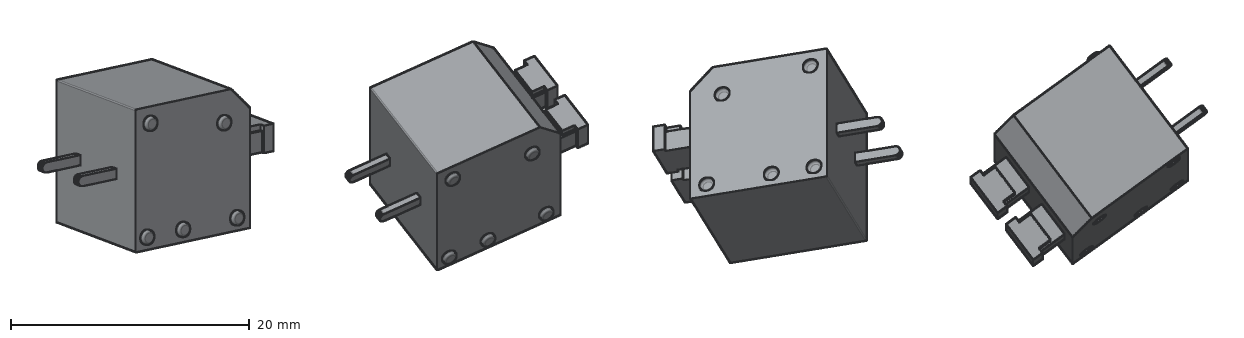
import cadquery as cq
import math

BODY_WIDTH = 11.0
BODY_DEPTH = 12.03
BODY_HEIGHT = 12.49
BACK_CHAMFER = 2.0
EDGE_FILLET = 0.1

POLE_COUNT = 2
POLE_PITCH = 5.0

PIN_CENTER_X = 3.01
PIN_WIDTH = 0.63
PIN_HEIGHT = 0.9
PIN_LENGTH = 3.97
PIN_TIP_FACETS = 9

BUTTON_CENTER_X = 2.72
BUTTON_LENGTH = 3.49
BUTTON_BOTTOM_Z = 5.75
STEM_WIDTH = 3.23
STEM_HEIGHT = 1.88
HEAD_WIDTH = 3.81
HEAD_HEIGHT = 2.4
HEAD_LENGTH = 1.0
TONGUE_WIDTH = 2.76
TONGUE_LENGTH = 1.2

PEG_RADIUS = 0.65
PEG_HEIGHT = 0.4
PEG_FILLET = 0.22
LOWER_PEG_Z = 1.17
PEG_POSITIONS = [
    (1.14, LOWER_PEG_Z),
    (4.9, LOWER_PEG_Z),
    (10.57, LOWER_PEG_Z),
    (1.47, 11.05),
    (9.21, 9.72),
]


def box_at(center_x, width, start_y, length, bottom_z, height):
    """Box centred on center_x, growing toward +Y and +Z."""
    box = cq.Workplane("XY").box(width, length, height, centered=(True, False, False))
    return box.translate((center_x, start_y, bottom_z))


def make_body():
    """Block with a sloped upper back edge and softened horizontal edges."""
    body = cq.Workplane("XY").box(BODY_WIDTH, BODY_DEPTH, BODY_HEIGHT, centered=False)
    body = body.edges("|X and >Y and >Z").chamfer(BACK_CHAMFER)
    body = body.edges("|X and <Y").fillet(EDGE_FILLET)
    return body.edges("|X and >Y and <Z").fillet(EDGE_FILLET)


def make_pin(center_x):
    """Flat solder pin, centred on the housing height, with flats set around a half circle at its tip."""
    tip_radius = PIN_HEIGHT / 2
    facet_angle = math.pi / PIN_TIP_FACETS
    tip_start_y = tip_radius * math.cos(facet_angle / 2) - PIN_LENGTH
    profile = [(0, tip_radius)]
    for corner in range(PIN_TIP_FACETS + 1):
        angle = corner * facet_angle
        corner_y = tip_start_y - tip_radius * math.sin(angle)
        profile.append((corner_y, tip_radius * math.cos(angle)))
    profile.append((0, -tip_radius))
    pin = cq.Workplane("YZ").polyline(profile).close().extrude(PIN_WIDTH / 2, both=True)
    return pin.translate((center_x, 0, BODY_HEIGHT / 2))


def make_button(center_x):
    """Stem with a wider, taller head and a tongue lying on top of the stem."""
    head_y = BODY_DEPTH + BUTTON_LENGTH - HEAD_LENGTH
    stem_length = BUTTON_LENGTH - HEAD_LENGTH
    tongue_y = head_y - TONGUE_LENGTH
    stem = box_at(center_x, STEM_WIDTH, BODY_DEPTH, stem_length, BUTTON_BOTTOM_Z, STEM_HEIGHT)
    head = box_at(center_x, HEAD_WIDTH, head_y, HEAD_LENGTH, BUTTON_BOTTOM_Z, HEAD_HEIGHT)
    tongue = box_at(center_x, TONGUE_WIDTH, tongue_y, TONGUE_LENGTH, BUTTON_BOTTOM_Z, HEAD_HEIGHT)
    return stem.union(head).union(tongue)


def make_peg(base_x, y, z):
    """Round peg along +X with a rounded end."""
    peg = cq.Workplane("YZ").circle(PEG_RADIUS).extrude(PEG_HEIGHT)
    peg = peg.faces(">X").edges().fillet(PEG_FILLET)
    return peg.translate((base_x, y, z))


result = make_body()

for pole in range(POLE_COUNT):
    offset_x = pole * POLE_PITCH
    result = result.union(make_pin(PIN_CENTER_X + offset_x))
    result = result.union(make_button(BUTTON_CENTER_X + offset_x))

for peg_y, peg_z in PEG_POSITIONS:
    result = result.union(make_peg(BODY_WIDTH, peg_y, peg_z))
    result = result.cut(make_peg(0, peg_y, peg_z))